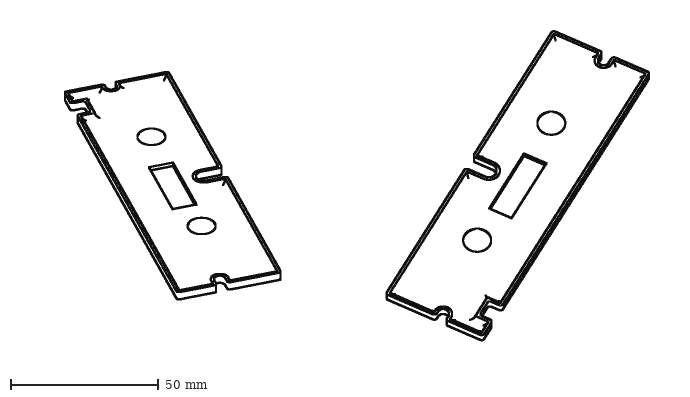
import cadquery as cq
LENGTH = 122.0
WIDTH = 37.2
THICKNESS = 3.0
FLOOR = THICKNESS / 2
WALL = 1.1
CORNER_RADIUS = 1.0

FLOOR_FILLET = THICKNESS - FLOOR

BACK_SLOT_RADIUS = 2.7
BACK_SLOT_CENTER = (0.0, 11.1)
SIDE_SLOT_RADIUS = 2.0
SIDE_SLOT_Y = -2.5
LEFT_SLOT_CENTER = (-59.2, SIDE_SLOT_Y)
RIGHT_SLOT_CENTER = (58.1, SIDE_SLOT_Y)

NOTCH_LEFT = -53.8
NOTCH_RIGHT = -47.2
NOTCH_DEPTH = 5.0

WINDOW_LENGTH = 25.4
WINDOW_WIDTH = 8.5

BOSS_RADIUS = 4.8
BOSS_SPACING = 54.2
BOSS_Y = 1.3

HALF_LENGTH = LENGTH / 2
HALF_WIDTH = WIDTH / 2
NOTCH_TOP = NOTCH_DEPTH - HALF_WIDTH

CUT_HEIGHT = 2 * THICKNESS


def block(x_limits, y_limits, z_min, height):
    """Box between the given X and Y limits, standing on z_min."""
    x_min, x_max = x_limits
    y_min, y_max = y_limits
    box = cq.Workplane("XY").box(x_max - x_min, y_max - y_min, height, centered=False)
    return box.translate((x_min, y_min, z_min))


def cylinder(center, radius, z_min):
    """Upright cylinder of cutting height, standing on z_min."""
    x, y = center
    return cq.Workplane("XY", origin=(x, y, z_min)).circle(radius).extrude(CUT_HEIGHT)


def edge_slot(center, radius, direction, z_min):
    """Slot from a round end at `center` out past the plate edge; `direction` is in degrees from +X."""
    x, y = center
    slot = cq.Workplane("XY").slot2D(LENGTH + 2 * radius, 2 * radius).extrude(CUT_HEIGHT)
    slot = slot.translate((HALF_LENGTH, 0, 0)).rotate((0, 0, 0), (0, 0, 1), direction)
    return slot.translate((x, y, z_min))


def edge_cutouts(grow, z_min):
    """The slots and the notch along the outline, all widened by `grow`."""
    return [
        edge_slot(BACK_SLOT_CENTER, BACK_SLOT_RADIUS + grow, 90, z_min),
        edge_slot(LEFT_SLOT_CENTER, SIDE_SLOT_RADIUS + grow, 180, z_min),
        edge_slot(RIGHT_SLOT_CENTER, SIDE_SLOT_RADIUS + grow, 0, z_min),
        block((NOTCH_LEFT - grow, NOTCH_RIGHT + grow), (-WIDTH, NOTCH_TOP + grow), z_min, CUT_HEIGHT),
    ]


def make_blank():
    """Solid plate with the edge cutouts and rounded outline corners."""
    blank = block((-HALF_LENGTH, HALF_LENGTH), (-HALF_WIDTH, HALF_WIDTH), 0, THICKNESS)
    for cutout in edge_cutouts(0, 0):
        blank = blank.cut(cutout)

    slot_ends = cq.selectors.BoxSelector(
        (-HALF_LENGTH + CORNER_RADIUS, NOTCH_TOP + CORNER_RADIUS, 0),
        (HALF_LENGTH - CORNER_RADIUS, HALF_WIDTH - CORNER_RADIUS, THICKNESS),
    )
    upright_edges = cq.selectors.ParallelDirSelector(cq.Vector(0, 0, 1))
    return blank.edges(upright_edges - slot_ends).fillet(CORNER_RADIUS)


def space_around(obstacle):
    """Large block of space above the floor around one obstacle, with a fillet at the obstacle's foot."""
    space = block((-LENGTH, LENGTH), (-WIDTH, WIDTH), FLOOR, CUT_HEIGHT).cut(obstacle)
    away_from_block_sides = cq.selectors.BoxSelector(
        (-LENGTH + WALL, -WIDTH + WALL, 0),
        (LENGTH - WALL, WIDTH - WALL, THICKNESS),
    )
    return space.faces("<Z").edges(away_from_block_sides).fillet(FLOOR_FILLET)


def make_pocket():
    """Space inside the rim and around the bosses, with rounded bottom edges.

    Each cutout wall and boss gets a block of space of its own; the pocket is
    what all of these have in common.
    """
    inner_x = HALF_LENGTH - WALL
    inner_y = HALF_WIDTH - WALL
    pocket = block((-inner_x, inner_x), (-inner_y, inner_y), FLOOR, CUT_HEIGHT)
    pocket = pocket.faces("<Z").edges().fillet(FLOOR_FILLET)

    bosses = [cylinder((side * BOSS_SPACING / 2, BOSS_Y), BOSS_RADIUS, FLOOR) for side in (-1, 1)]
    for obstacle in edge_cutouts(WALL, FLOOR) + bosses:
        pocket = pocket.intersect(space_around(obstacle))
    return pocket


def make_plate():
    """Tray with its rim, bosses and window."""
    window = cq.Workplane("XY").rect(WINDOW_LENGTH, WINDOW_WIDTH).extrude(THICKNESS)
    return make_blank().cut(make_pocket()).cut(window)


plate = make_plate()

result = cq.Compound.makeCompound([plate.val()])